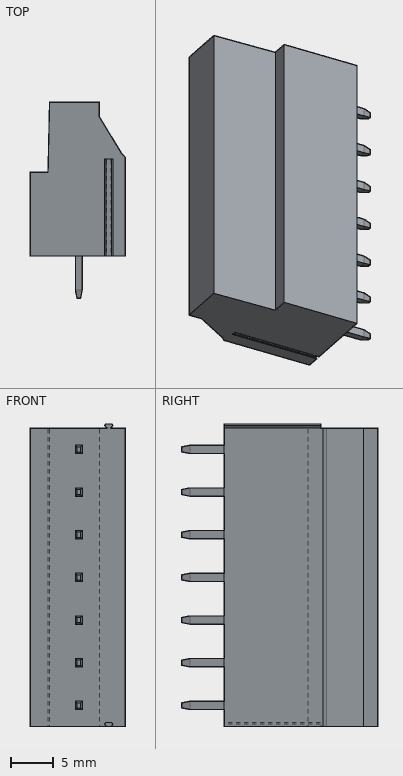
import cadquery as cq

total_width = 11.2
total_depth = 23.0
total_height = 35.5

pole_count = 7
rail_height = 0.5
pin_length = 4.97
body_depth = total_depth - pin_length
body_height = total_height - rail_height
pole_pitch = body_height / pole_count

step_y = 9.85
step_x = 2.1
top_left_x = 2.27
top_right_x = 8.13
slope_top_y = 16.33
slope_bottom_x = 10.75
slope_bottom_y = 12.0
wall_top_y = 11.57

pin_x = 5.7
pin_width = 0.8
pin_height = 1.0
tip_length = 0.95
tip_width = 0.43
tip_height = 0.6

rail_x = 9.23
rail_length = 11.35
rail_neck_width = 0.5
rail_wide_width = 1.0
rail_crown_width = 0.67
rail_wide_height = 0.32


def make_body():
    """Stepped and sloped housing outline, extruded along the pole row."""
    outline = [
        (0, 0),
        (total_width, 0),
        (total_width, wall_top_y),
        (slope_bottom_x, slope_bottom_y),
        (top_right_x, slope_top_y),
        (top_right_x, body_depth),
        (top_left_x, body_depth),
        (step_x, step_y),
        (0, step_y),
    ]
    return cq.Workplane("XY").polyline(outline).close().extrude(body_height)


def make_rail(base_z):
    """Dovetail bar with a bevelled crown, standing on the height base_z."""
    right_side = [
        (rail_neck_width / 2, 0),
        (rail_wide_width / 2, rail_wide_height),
        (rail_crown_width / 2, rail_height),
    ]
    left_side = [(-x, z) for x, z in reversed(right_side)]
    profile = cq.Workplane("XZ", origin=(rail_x, 0, base_z)).polyline(right_side + left_side).close()
    return profile.extrude(-rail_length)


def make_pin(center_z):
    """Rectangular pin along -Y that ends in a tapered tip."""
    shank_length = pin_length - tip_length
    base = cq.Workplane("XZ", origin=(pin_x, 0, center_z))
    shank = base.rect(pin_width, pin_height).extrude(shank_length)
    tip = (
        base.workplane(offset=shank_length)
        .rect(pin_width, pin_height)
        .workplane(offset=tip_length)
        .rect(tip_width, tip_height)
        .loft(ruled=True)
    )
    return shank.union(tip)


result = make_body().cut(make_rail(0)).union(make_rail(body_height))
for pole in range(pole_count):
    result = result.union(make_pin((pole + 0.5) * pole_pitch))